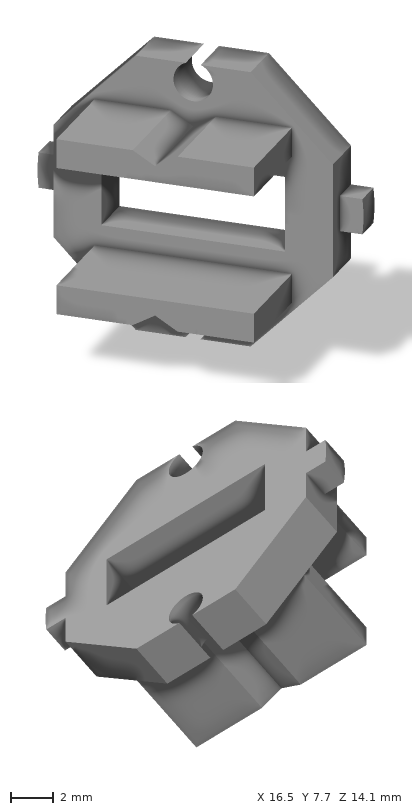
import cadquery as cq

total_width = 16.51
total_depth = 7.7
plate_size = 14.13
plate_depth = 2.5
corner_cut = 4.16

window_width = 9.31
window_height = 3.85

hole_diameter = 2.0
hole_offset = 6.14

arm_width = 10.0
arm_thickness = 1.49
arm_inner_z = 3.02
groove_width = 2.28
groove_depth = 0.66

tab_height = 1.82
tab_depth = 1.5

back_y = total_depth / 2


def extrude_back(profile, depth):
    """Extrude an XZ profile from the back plane toward the front (-Y)."""
    return profile.extrude(depth).translate((0, back_y, 0))


def make_plate():
    plate = extrude_back(cq.Workplane("XZ").rect(plate_size, plate_size), plate_depth)
    plate = plate.edges("|Y").chamfer(corner_cut)
    window = cq.Workplane("XZ").rect(window_width, window_height)
    holes = cq.Workplane("XZ").pushPoints([(0, hole_offset), (0, -hole_offset)]).circle(hole_diameter / 2)
    plate = plate.cut(extrude_back(window, plate_depth))
    return plate.cut(extrude_back(holes, plate_depth))


def make_upper_arm():
    outer_z = arm_inner_z + arm_thickness
    profile = (
        cq.Workplane("XZ")
        .moveTo(-arm_width / 2, arm_inner_z)
        .lineTo(arm_width / 2, arm_inner_z)
        .lineTo(arm_width / 2, outer_z)
        .lineTo(groove_width / 2, outer_z)
        .lineTo(0, outer_z - groove_depth)
        .lineTo(-groove_width / 2, outer_z)
        .lineTo(-arm_width / 2, outer_z)
        .close()
    )
    return extrude_back(profile, total_depth)


def make_tab_bar():
    """Bar across the back whose ends, the tabs, are rounded about the part's centre."""
    bar = cq.Workplane("XZ").rect(total_width, tab_height)
    disc = cq.Workplane("XZ").circle(total_width / 2)
    window = cq.Workplane("XZ").rect(window_width, window_height)
    tabs = extrude_back(bar, tab_depth).intersect(extrude_back(disc, tab_depth))
    return tabs.cut(extrude_back(window, tab_depth))


upper_arm = make_upper_arm()
lower_arm = upper_arm.mirror("XY")
result = make_plate().union(upper_arm).union(lower_arm).union(make_tab_bar())